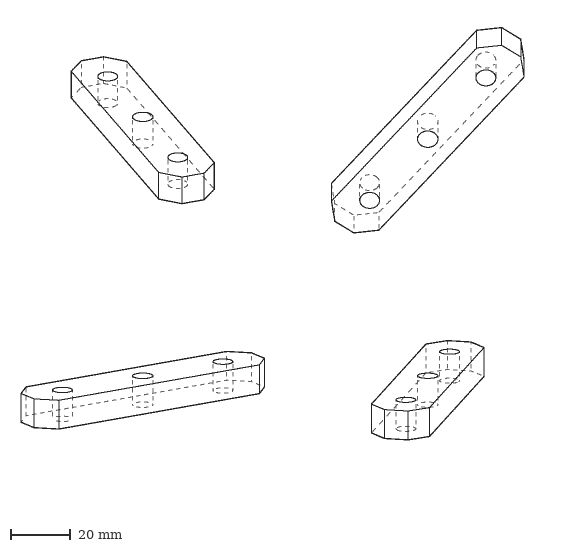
import cadquery as cq

length = 92.0
width = 20.0
thickness = 10.0
corner_cut = 6.0

hole_spacing = 32.0
centre_hole_diameter = 6.8
end_hole_diameter = 6.6

bar = cq.Workplane("XY").box(length, width, thickness)
bar = bar.edges("|Z").chamfer(corner_cut)

bar = bar.faces(">Z").workplane().hole(centre_hole_diameter)
end_positions = [(-hole_spacing, 0), (hole_spacing, 0)]
result = bar.faces(">Z").workplane().pushPoints(end_positions).hole(end_hole_diameter)